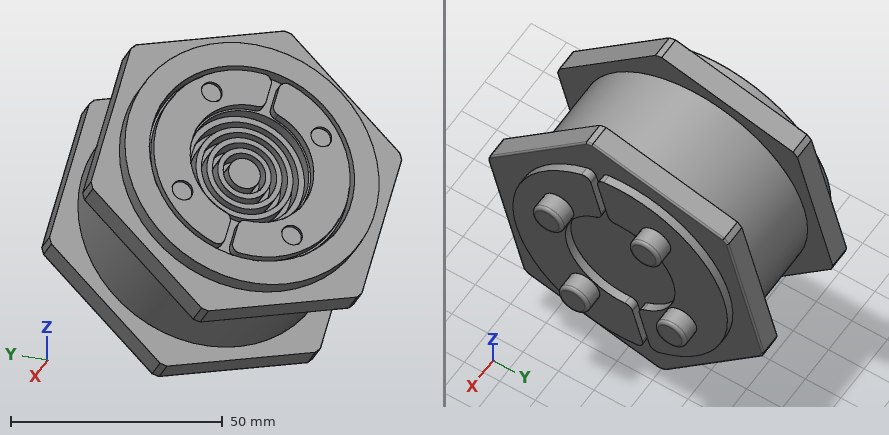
import cadquery as cq
import math


outer_width = 77.55
housing_radius = 31.7
bore_radius = 25.6
flange_thickness = 6.05
front_flange_x = 4.0
rear_flange_x = 34.05
hex_half_sector = 30.0
hex_tilt = 15.0
corner_trim_half_angle = 1.3
rear_edge_radius = 0.5
housing_length = rear_flange_x + flange_thickness

core_radius = 25.05
plate_thickness = 2.3
front_plate_radius = 24.5
rear_plate_radius = 30.25
plate_bore_radius = 15.4
plate_gap = 2.0
plate_corner_radius = 2.0
plate_gap_angle = 105.0

recess_radius = 15.0
recess_depth = 3.1
groove_depth = 5.0
groove_inner_radius = 3.95
ring_step = 1.36
groove_count = 4

screw_circle_radius = 20.0
screw_first_angle = 60.0
screw_count = 4
screw_hole_radius = 2.55
screw_tip_depth = 0.8
head_radius = 4.3
head_height = 5.05
head_edge_radius = 0.9


def disc(x, length, radius):
    """Solid cylinder along X that starts at x."""
    return cq.Workplane("YZ", origin=(x, 0, 0)).circle(radius).extrude(length)


def ring(x, length, outer_radius, inner_radius):
    """Tube along X that starts at x."""
    return cq.Workplane("YZ", origin=(x, 0, 0)).circle(outer_radius).circle(inner_radius).extrude(length)


def hex_flange(x):
    """Tilted hexagonal plate whose corners are turned down to a round, spanning outer_width."""
    trim_radius = outer_width / 2 / math.cos(math.radians(hex_tilt - corner_trim_half_angle))
    apothem = trim_radius * math.cos(math.radians(hex_half_sector - corner_trim_half_angle))
    sharp_radius = apothem / math.cos(math.radians(hex_half_sector))
    flange = (
        cq.Workplane("YZ", origin=(x, 0, 0))
        .polygon(6, 2 * sharp_radius)
        .extrude(flange_thickness)
        .intersect(disc(x, flange_thickness, trim_radius))
    )
    return flange.rotate((0, 0, 0), (1, 0, 0), 90 + hex_tilt)


def make_housing():
    """Sleeve with a front and a rear flange and a plain through bore."""
    rear_flange = hex_flange(rear_flange_x).faces(">X").edges().fillet(rear_edge_radius)
    body = disc(0, housing_length, housing_radius)
    body = body.union(hex_flange(front_flange_x)).union(rear_flange)
    return body.cut(disc(0, housing_length, bore_radius))


def clamp_plate(x, outer_radius):
    """Ring plate cut into two halves by a straight gap, the corners beside it rounded."""
    gap = (
        cq.Workplane("XY")
        .box(plate_thickness, 2 * outer_radius, plate_gap)
        .translate((x + plate_thickness / 2, 0, 0))
    )
    plate = ring(x, plate_thickness, outer_radius, plate_bore_radius).cut(gap)
    plate = plate.edges("|X").fillet(plate_corner_radius)
    return plate.rotate((0, 0, 0), (1, 0, 0), plate_gap_angle)


def ringed_recess():
    """Space removed from the core: a round recess with concentric grooves in its floor."""
    floor_x = plate_thickness + recess_depth
    space = disc(plate_thickness, recess_depth, recess_radius)
    for i in range(groove_count):
        inner = groove_inner_radius + 2 * i * ring_step
        space = space.union(ring(floor_x, groove_depth, inner + ring_step, inner))
    return space


def screw_points():
    """(y, z) of each screw axis."""
    points = []
    for i in range(screw_count):
        angle = math.radians(screw_first_angle + i * 360 / screw_count)
        points.append((screw_circle_radius * math.cos(angle), screw_circle_radius * math.sin(angle)))
    return points


def make_core():
    """Plug with its ringed recess, split end plates, screw heads and screw end holes."""
    rear_plate_x = housing_length
    head_x = rear_plate_x + plate_thickness
    core = disc(plate_thickness, rear_plate_x - plate_thickness, core_radius).cut(ringed_recess())
    core = core.union(clamp_plate(0, front_plate_radius))
    core = core.union(clamp_plate(rear_plate_x, rear_plate_radius))
    heads = (
        cq.Workplane("YZ", origin=(head_x, 0, 0))
        .pushPoints(screw_points())
        .circle(head_radius)
        .extrude(head_height)
        .faces(">X")
        .edges()
        .fillet(head_edge_radius)
    )
    tip_holes = (
        cq.Workplane("YZ")
        .pushPoints(screw_points())
        .circle(screw_hole_radius)
        .extrude(screw_tip_depth)
    )
    return core.union(heads).cut(tip_holes)


housing = make_housing()
core = make_core()
result = cq.Compound.makeCompound([housing.val(), core.val()])